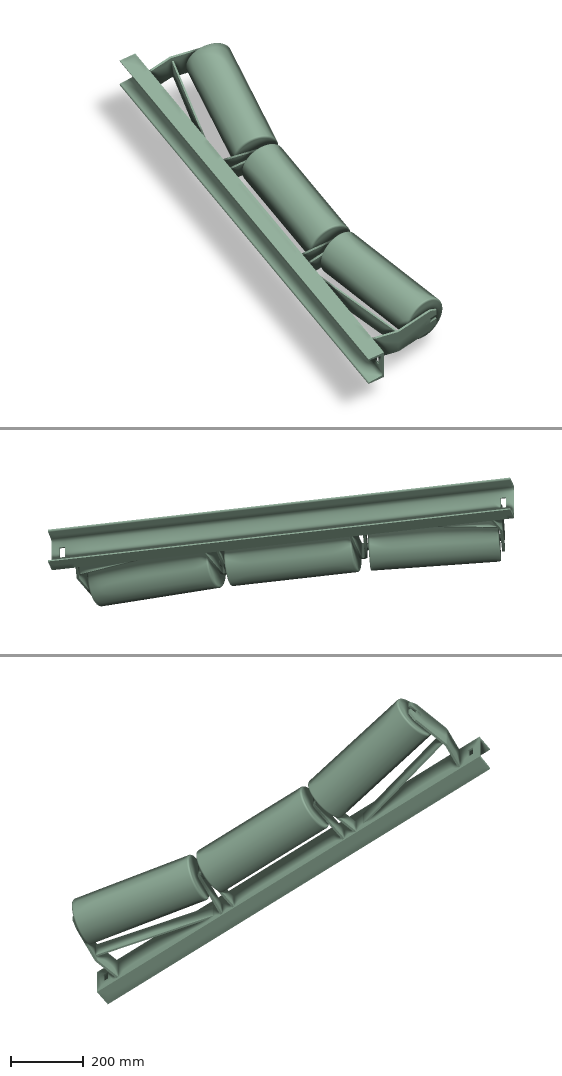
import cadquery as cq
import math


channel_length = 1300.0
channel_height = 100.0
flange_width = channel_height / 2
web_thickness = 5.0
flange_mid_thickness = 7.5
flange_taper = math.radians(5.0)
root_radius = 8.0
toe_radius = 4.0
mount_slot_width = 15.0
mount_slot_height = 31.0
mount_slot_inset = 30.0

roller_radius = 66.0
roller_length = 359.0
roller_fillet = 5.0
shaft_diameter = 20.0
shaft_flat_width = 15.0
side_shaft_length = 385.0
trough_angle = 10.0
tilt_angle = 3.0
centre_roller_y = 118.0
centre_roller_z = -20.0
side_roller_x = -390.0
side_roller_y = 152.0
side_roller_z = -9.0

plate_thickness = 6.0
outer_foot_x = -581.0
outer_bend_y = 79.0
outer_bend_radius = 17.0
outer_tip_y = 216.0
outer_height = 79.0
tip_chamfer_length = 22.0
tip_chamfer_height = 13.0
inner_leg_x = -187.0
inner_bend_y = 131.0
inner_bend_radius = 8.5
inner_height = 47.0

brace_thickness = 5.0
brace_height = 52.0
brace_foot_x = -255.0
brace_angle = math.radians(14.5)

trough = math.radians(trough_angle)
half_plate = plate_thickness / 2
outer_half_width = half_plate / math.cos(trough)
centre_shaft_length = 2 * (half_plate - inner_leg_x)
slot_cut_length = 2 * roller_length
outer_bend_x = outer_foot_x - outer_bend_y * math.tan(trough)


def extruded_in_z(outline, height, centre_z=0.0):
    return outline.extrude(height).translate((0, 0, centre_z - height / 2))


def make_channel():
    half_height = channel_height / 2
    taper_rise = flange_width / 2 * math.tan(flange_taper)
    root_z = half_height - flange_mid_thickness - taper_rise
    toe_z = half_height - flange_mid_thickness + taper_rise
    body = (
        cq.Workplane("YZ", origin=(-channel_length / 2, 0, 0))
        .polyline([
            (0, -half_height),
            (0, half_height),
            (-flange_width, half_height),
            (-flange_width, toe_z),
            (-web_thickness, root_z),
            (-web_thickness, -root_z),
            (-flange_width, -toe_z),
            (-flange_width, -half_height),
        ])
        .close()
        .extrude(channel_length)
    )

    def edge_at(y, z):
        return cq.selectors.NearestToPointSelector((0, y, z))

    for side in (1, -1):
        body = body.edges(edge_at(-web_thickness, side * root_z)).fillet(root_radius)
        body = body.edges(edge_at(-flange_width, side * toe_z)).fillet(toe_radius)
    slot_x = channel_length / 2 - mount_slot_inset
    slots = (
        cq.Workplane("XZ")
        .pushPoints([(-slot_x, 0), (slot_x, 0)])
        .rect(mount_slot_width, mount_slot_height)
        .extrude(web_thickness)
    )
    return body.cut(slots)


def shaft_bar(length):
    """Round bar along X with a flat on its top and its bottom."""
    bar = cq.Workplane("YZ", origin=(-length / 2, 0, 0)).circle(shaft_diameter / 2).extrude(length)
    return bar.intersect(cq.Workplane("XY").box(length, shaft_diameter, shaft_flat_width))


def slot_cutter(length):
    """Shaft section along X, left open toward +Y."""
    opening = cq.Workplane("XY").box(length, roller_radius, shaft_flat_width, centered=(True, False, True))
    return shaft_bar(length).union(opening)


def roller_with_shaft(shaft_length):
    shell = (
        cq.Workplane("YZ", origin=(-roller_length / 2, 0, 0))
        .circle(roller_radius)
        .extrude(roller_length)
        .faces("|X")
        .edges()
        .fillet(roller_fillet)
    )
    return shell.union(shaft_bar(shaft_length))


def at_centre(body):
    return body.translate((0, centre_roller_y, centre_roller_z))


def at_left_side(body):
    return (
        body.rotate((0, 0, 0), (0, 1, 0), tilt_angle)
        .rotate((0, 0, 0), (0, 0, 1), -trough_angle)
        .translate((side_roller_x, side_roller_y, side_roller_z))
    )


def outer_bracket_x(y):
    """Mid-plane of the upper leg of the left outer bracket."""
    return outer_bend_x + (y - outer_bend_y) * math.tan(trough)


def make_outer_bracket():
    tip_x = outer_bracket_x(outer_tip_y)
    bent_plate = extruded_in_z(
        cq.Workplane("XY")
        .polyline([
            (outer_foot_x - outer_half_width, 0),
            (outer_bend_x - outer_half_width, outer_bend_y),
            (tip_x - outer_half_width, outer_tip_y),
            (tip_x + outer_half_width, outer_tip_y),
            (outer_bend_x + outer_half_width, outer_bend_y),
            (outer_foot_x + outer_half_width, 0),
        ])
        .close(),
        outer_height,
    )
    bent_plate = bent_plate.edges("|Z and <X").fillet(outer_bend_radius)
    bent_plate = bent_plate.edges(
        cq.selectors.NearestToPointSelector((outer_bend_x + outer_half_width, outer_bend_y, 0))
    ).fillet(outer_bend_radius - plate_thickness)
    half_height = outer_height / 2
    tip_half_height = half_height - tip_chamfer_height
    shoulder_y = outer_tip_y - tip_chamfer_length
    side_shape = (
        cq.Workplane("YZ")
        .polyline([
            (0, -half_height),
            (shoulder_y, -half_height),
            (outer_tip_y, -tip_half_height),
            (outer_tip_y, tip_half_height),
            (shoulder_y, half_height),
            (0, half_height),
        ])
        .close()
        .extrude(-channel_length / 2)
    )
    return bent_plate.intersect(side_shape)


def hairpin(radius):
    """Outline under an arch with one upright leg and one leg leaning at the trough angle."""
    centre_x = inner_leg_x - inner_bend_radius
    arc_end_angle = math.pi - trough

    def on_arc(angle):
        return (centre_x + radius * math.cos(angle), inner_bend_y + radius * math.sin(angle))

    end_x, end_y = on_arc(arc_end_angle)
    return (
        cq.Workplane("XY")
        .moveTo(centre_x + radius, 0)
        .lineTo(*on_arc(0))
        .threePointArc(on_arc(arc_end_angle / 2), (end_x, end_y))
        .lineTo(end_x - end_y * math.tan(trough), 0)
        .close()
    )


def make_inner_bracket():
    outside = extruded_in_z(hairpin(inner_bend_radius + half_plate), inner_height, centre_roller_z)
    inside = extruded_in_z(hairpin(inner_bend_radius - half_plate), inner_height, centre_roller_z)
    return outside.cut(inside)


def make_brace():
    """Flat strut from the upper leg of the outer bracket down to the channel web."""
    slope = math.tan(brace_angle)
    foot_length = brace_thickness / math.sin(brace_angle)

    def top_corner(foot_x):
        face_x = outer_bracket_x(0) + outer_half_width
        y = slope * (foot_x - face_x) / (1 + slope * math.tan(trough))
        return (outer_bracket_x(y) + outer_half_width, y)

    outline = (
        cq.Workplane("XY")
        .polyline([
            (brace_foot_x - foot_length, 0),
            (brace_foot_x, 0),
            top_corner(brace_foot_x),
            top_corner(brace_foot_x - foot_length),
        ])
        .close()
    )
    return extruded_in_z(outline, brace_height)


channel = make_channel()
centre_roller = at_centre(roller_with_shaft(centre_shaft_length))
side_roller = at_left_side(roller_with_shaft(side_shaft_length))
outer_bracket = make_outer_bracket().cut(at_left_side(slot_cutter(slot_cut_length)))
inner_bracket = (
    make_inner_bracket()
    .cut(at_left_side(shaft_bar(side_shaft_length)))
    .cut(at_centre(shaft_bar(centre_shaft_length)))
)
brace = make_brace()

bodies = [channel, centre_roller]
for left_body in (side_roller, outer_bracket, inner_bracket, brace):
    bodies += [left_body, left_body.mirror("YZ")]
result = cq.Compound.makeCompound([body.solids().val() for body in bodies])